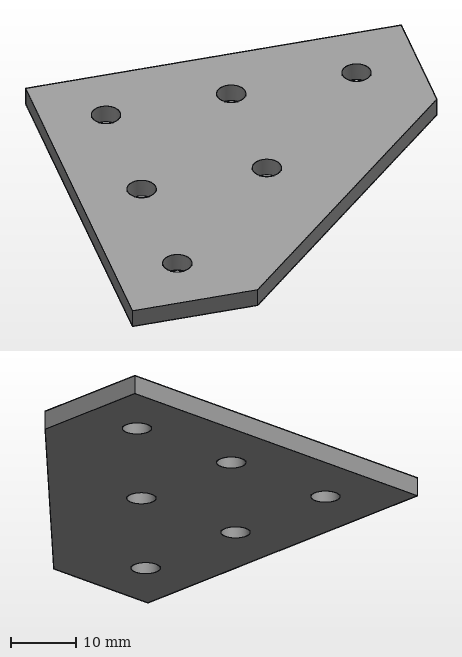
import cadquery as cq

side = 60.0
thickness = 3.0
cells_per_side = 3
hole_diameter = 4.5

pitch = side / cells_per_side

outline = [
    (0, 0),
    (side, 0),
    (side, pitch),
    (pitch, side),
    (0, side),
]
plate = cq.Workplane("XY").polyline(outline).close().extrude(thickness)

hole_centres = [
    ((column + 0.5) * pitch, (row + 0.5) * pitch)
    for row in range(cells_per_side)
    for column in range(cells_per_side - row)
]
holes = cq.Workplane("XY").pushPoints(hole_centres).circle(hole_diameter / 2).extrude(thickness)

result = plate.cut(holes)